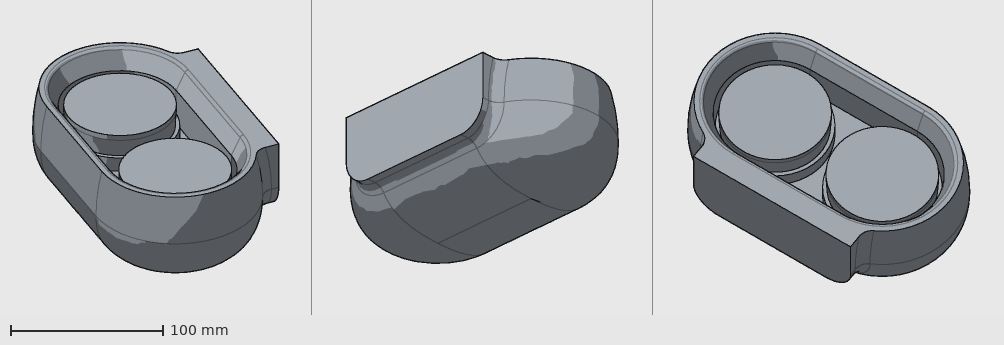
import cadquery as cq

LENGTH = 200.3
BOWL_HEIGHT = 76.0
BOWL_RADIUS = 57.5
CENTRE_X = LENGTH / 2 - BOWL_RADIUS
WIDEST_Z = -34.0
RIM_RADIUS = 53.3
BASE_PULL = 36.0
SIDE_PULL = 32.0

BLOCK_LENGTH = 125.0
BLOCK_BACK_Y = 65.9
BLOCK_HEIGHT = 54.3
BLOCK_CORNER_RADIUS = 20.0
BLEND_RADIUS = 10.0

SEAM_MIN_Y = 48.0
SEAM_MAX_Y = 56.0
SEAM_MAX_Z = -2.0

MOUTH_RADIUS = 47.9
POCKET_RADIUS = 40.7
FUNNEL_DEPTH = 13.8
MOUTH_FILLET = 2.8

PLATE_TOP_Z = -40.0
PLATE_THICKNESS = 4.0
BASE_RADIUS = 39.3
BASE_HEIGHT = 10.5
CUP_RADIUS = 37.0
CUP_FOOT_RADIUS = 36.5
CUP_TOP_Z = -13.5
CUP_BAND_HEIGHT = 3.8

POCKET_DEPTH = PLATE_THICKNESS - PLATE_TOP_Z


def sweep_stadium(half_profile):
    """Carry a profile (drawn in +Y, Z) around a stadium: two revolved ends and a straight middle."""
    middle_half = half_profile().extrude(2 * CENTRE_X).translate((-CENTRE_X, 0, 0))
    solid = middle_half.union(middle_half.mirror("XZ"))
    for x in (-CENTRE_X, CENTRE_X):
        end = half_profile().revolve(360, (0, 0), (0, 1)).translate((x, 0, 0))
        solid = solid.union(end)
    return solid


def bowl_profile():
    """Half section: a curve rolling from the base to the widest point, then an arc to the rim."""
    return (
        cq.Workplane("YZ")
        .moveTo(0, -BOWL_HEIGHT)
        .bezier(
            [
                (0, -BOWL_HEIGHT),
                (BASE_PULL, -BOWL_HEIGHT),
                (BOWL_RADIUS, WIDEST_Z - SIDE_PULL),
                (BOWL_RADIUS, WIDEST_Z),
            ]
        )
        .tangentArcPoint((RIM_RADIUS, 0), relative=False)
        .lineTo(0, 0)
        .close()
    )


def funnel_profile():
    return (
        cq.Workplane("YZ")
        .lineTo(MOUTH_RADIUS, 0)
        .lineTo(POCKET_RADIUS, -FUNNEL_DEPTH)
        .lineTo(POCKET_RADIUS, -POCKET_DEPTH)
        .lineTo(0, -POCKET_DEPTH)
        .close()
    )


def mounting_block():
    return (
        cq.Workplane("XY")
        .box(BLOCK_LENGTH, BLOCK_BACK_Y, BLOCK_HEIGHT, centered=(True, False, False))
        .translate((0, 0, -BLOCK_HEIGHT))
        .edges("|Y and <Z")
        .fillet(BLOCK_CORNER_RADIUS)
    )


def make_housing():
    body = sweep_stadium(bowl_profile).union(mounting_block())
    seam = cq.selectors.BoxSelector(
        (-BLOCK_LENGTH, SEAM_MIN_Y, -BOWL_HEIGHT),
        (BLOCK_LENGTH, SEAM_MAX_Y, SEAM_MAX_Z),
    )
    body = body.edges(seam).fillet(BLEND_RADIUS)
    cavity = sweep_stadium(funnel_profile)
    body = body.cut(cavity)
    mouth = body.faces(">Z").val().innerWires()[0]
    return body.newObject(mouth.Edges()).fillet(MOUTH_FILLET)


def stepped_cup():
    """A wide round base, then a cup that flares slightly up to a straight band at its top."""
    base_top = PLATE_TOP_Z + BASE_HEIGHT
    return (
        cq.Workplane("XZ")
        .moveTo(0, PLATE_TOP_Z)
        .lineTo(BASE_RADIUS, PLATE_TOP_Z)
        .lineTo(BASE_RADIUS, base_top)
        .lineTo(CUP_FOOT_RADIUS, base_top)
        .lineTo(CUP_RADIUS, CUP_TOP_Z - CUP_BAND_HEIGHT)
        .lineTo(CUP_RADIUS, CUP_TOP_Z)
        .lineTo(0, CUP_TOP_Z)
        .close()
        .revolve(360, (0, 0), (0, 1))
    )


def make_insert():
    insert = (
        cq.Workplane("XY", origin=(0, 0, PLATE_TOP_Z))
        .slot2D(2 * (CENTRE_X + POCKET_RADIUS), 2 * POCKET_RADIUS)
        .extrude(-PLATE_THICKNESS)
    )
    for x in (-CENTRE_X, CENTRE_X):
        insert = insert.union(stepped_cup().translate((x, 0, 0)))
    return insert


housing = make_housing()
insert = make_insert()
result = cq.Compound.makeCompound([housing.val(), insert.val()])